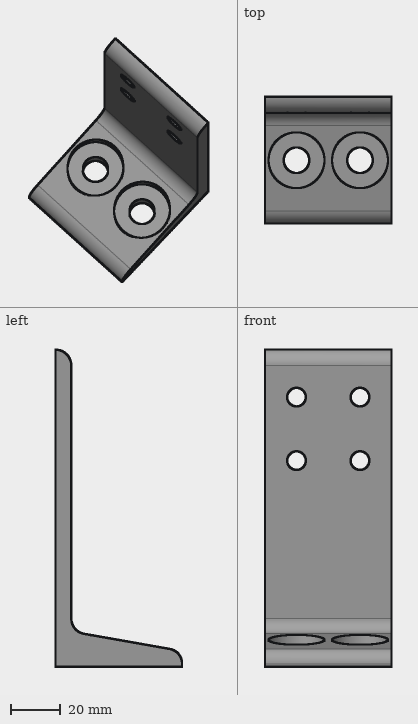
import cadquery as cq
import math

width = 50.8
depth = 50.8
height = 127.0

wall_thickness = 6.5
wall_top_radius = 6.5
toe_height = 1.3
toe_radius = 6.1
inner_radius = 6.1
foot_slope = math.radians(10)

hole_spacing = 25.4
wall_hole_diameter = 7.4
wall_hole_center_height = 95.2
bolt_hole_diameter = 10.2
counterbore_diameter = 22.4
counterbore_floor = 7.5


def arc_point(center, radius, angle):
    """Point on a circle in the side plane, as (y, z)."""
    return (center[0] + radius * math.cos(angle), center[1] + radius * math.sin(angle))


def bracket_body():
    """L-shaped side profile extruded across the width."""
    wall_face = depth - wall_thickness
    toe_center = (toe_radius, toe_height)
    slope_normal = math.pi / 2 + foot_slope
    toe_end = arc_point(toe_center, toe_radius, slope_normal)

    inner_y = wall_face - inner_radius
    slope_start_y = inner_y + inner_radius * math.sin(foot_slope)
    slope_start_z = toe_end[1] + (slope_start_y - toe_end[0]) * math.tan(foot_slope)
    inner_center = (inner_y, slope_start_z + inner_radius * math.cos(foot_slope))

    inner_mid = arc_point(inner_center, inner_radius, (foot_slope - math.pi / 2) / 2)
    toe_mid = arc_point(toe_center, toe_radius, (slope_normal + math.pi) / 2)
    top_center = (wall_face + wall_top_radius, height - wall_top_radius)
    top_mid = arc_point(top_center, wall_top_radius, 3 * math.pi / 4)

    return (
        cq.Workplane("YZ")
        .moveTo(depth, 0)
        .lineTo(0, 0)
        .lineTo(0, toe_height)
        .threePointArc(toe_mid, toe_end)
        .lineTo(slope_start_y, slope_start_z)
        .threePointArc(inner_mid, (wall_face, inner_center[1]))
        .lineTo(wall_face, top_center[1])
        .threePointArc(top_mid, (top_center[0], height))
        .close()
        .extrude(width)
    )


def wall_holes():
    """Square pattern of through holes in the upright wall."""
    return (
        cq.Workplane("XZ")
        .center(width / 2, wall_hole_center_height)
        .rarray(hole_spacing, hole_spacing, 2, 2)
        .circle(wall_hole_diameter / 2)
        .extrude(-depth)
    )


def foot_cylinders(diameter, bottom, top):
    """Pair of vertical cylinders at the bolt positions in the foot."""
    return (
        cq.Workplane("XY")
        .workplane(offset=bottom)
        .center(width / 2, depth / 2)
        .rarray(hole_spacing, 1.3, 2, 1)
        .circle(diameter / 2)
        .extrude(top - bottom)
    )


bolt_holes = foot_cylinders(bolt_hole_diameter, 0, height)
counterbores = foot_cylinders(counterbore_diameter, counterbore_floor, height)
result = bracket_body().cut(wall_holes()).cut(bolt_holes).cut(counterbores)